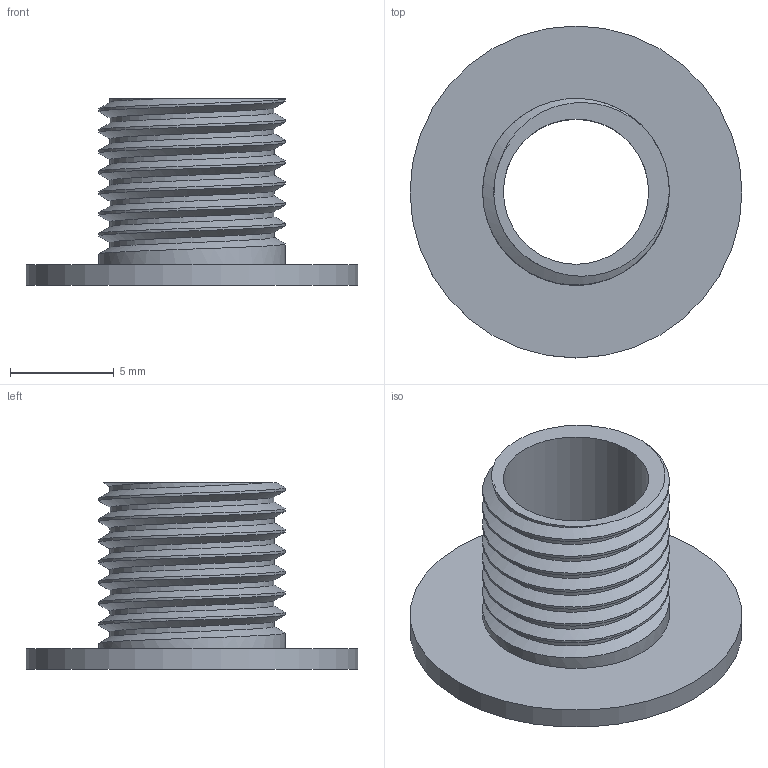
import cadquery as cq
import math

flange_diameter = 16.0
flange_thickness = 1.0
overall_height = 9.0
bore_diameter = 7.0

thread_diameter = 9.0
thread_pitch = 1.0
flank_half_angle = math.radians(30)
crest_flat = thread_pitch / 8
root_flat = thread_pitch / 4
groove_mouth = thread_pitch - crest_flat
thread_depth = (groove_mouth - root_flat) / 2 / math.tan(flank_half_angle)

first_groove_z = flange_thickness + groove_mouth / 2
outside_clearance = 0.05
helix_height = overall_height - flange_thickness

major_radius = thread_diameter / 2
root_radius = major_radius - thread_depth


def make_flange():
    return cq.Workplane("XY").circle(flange_diameter / 2).extrude(flange_thickness)


def make_tube():
    tube_height = overall_height - flange_thickness
    return cq.Workplane("XY", origin=(0, 0, flange_thickness)).circle(major_radius).extrude(tube_height)


def make_groove_cutter():
    """Trapezoid carried along a helix, bounded by four helical faces and two flat ends."""
    outer_radius = major_radius + outside_clearance
    outer_half_width = groove_mouth / 2 + outside_clearance * math.tan(flank_half_angle)
    corners = [
        (root_radius, first_groove_z - root_flat / 2),
        (outer_radius, first_groove_z - outer_half_width),
        (outer_radius, first_groove_z + outer_half_width),
        (root_radius, first_groove_z + root_flat / 2),
    ]
    edges = [
        cq.Wire.makeHelix(thread_pitch, helix_height, radius, cq.Vector(0, 0, z))
        for radius, z in corners
    ]
    faces = [
        cq.Face.makeRuledSurface(edge, next_edge)
        for edge, next_edge in zip(edges, edges[1:] + edges[:1])
    ]
    for rise in (0, helix_height):
        end_points = [cq.Vector(radius, 0, z + rise) for radius, z in corners]
        faces.append(cq.Face.makeFromWires(cq.Wire.makePolygon(end_points, close=True)))
    cutter = cq.Solid.makeSolid(cq.Shell.makeShell(faces)).fix()
    return cq.Workplane(obj=cutter)


def make_bore():
    return cq.Workplane("XY").circle(bore_diameter / 2).extrude(overall_height)


threaded_tube = make_tube().cut(make_groove_cutter())
result = make_flange().union(threaded_tube).cut(make_bore())